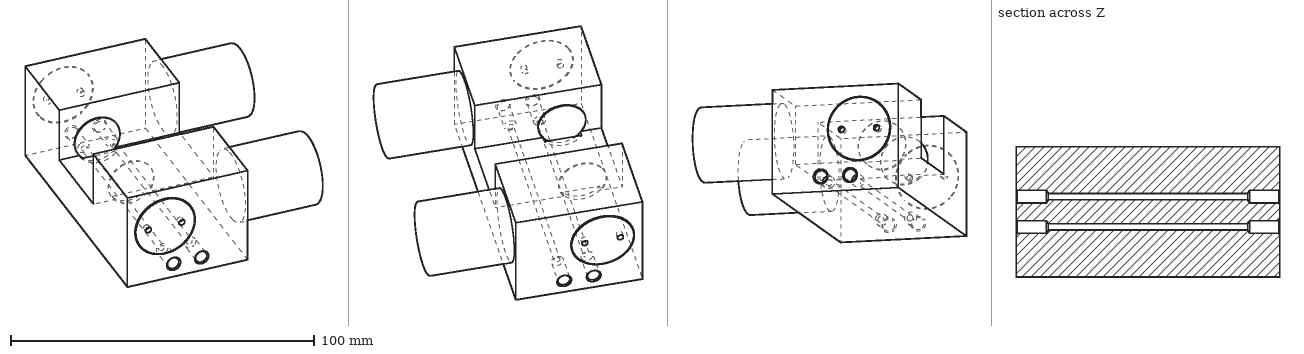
import cadquery as cq
import math

BODY_LENGTH = 87.0
BODY_DEPTH = 43.0
BODY_HEIGHT = 35.0
SLOT_WIDTH = 29.0
SLOT_DEPTH = 19.6

TUBE_DIAMETER = 25.0
TUBE_LENGTH = 28.0
TUBE_ROUNDING = 0.7

AXIS_HEIGHT = 20.5

OPTIC_Y = 13.5
WINDOW_DIAMETER = 16.2
WINDOW_PROTRUSION = 0.4
WINDOW_RELIEF = 2.0
COVER_DIAMETER = 21.5
COVER_GROOVE = 0.3
PIN_HOLE_DIAMETER = 2.0
PIN_HOLE_DEPTH = 2.0
PIN_HOLE_SPACING = 12.0

MOUNT_HOLE_HEIGHT = 5.05
MOUNT_HOLE_NEAR_Y = 16.5
MOUNT_HOLE_PITCH = 10.0
MOUNT_HOLE_COUNT = 2
MOUNT_BORE_DIAMETER = 2.0
MOUNT_THREAD_DIAMETER = 4.1
MOUNT_THREAD_DEPTH = 10.0
MOUNT_MOUTH_CHAMFER = 0.4
DRILL_POINT_ANGLE = 118.0

HALF_LENGTH = BODY_LENGTH / 2
HALF_SLOT = SLOT_WIDTH / 2
SLOT_FLOOR = BODY_HEIGHT - SLOT_DEPTH
LEG_CENTRE_X = (HALF_LENGTH + HALF_SLOT) / 2

ALONG_X = cq.Vector(1, 0, 0)


def x_cylinder(x_start, length, y, z, diameter):
    """Cylinder along +X."""
    return cq.Workplane(cq.Solid.makeCylinder(diameter / 2, length, cq.Vector(x_start, y, z), ALONG_X))


def x_cone(x_start, length, y, z, start_diameter, end_diameter):
    """Truncated cone along +X."""
    return cq.Workplane(
        cq.Solid.makeCone(start_diameter / 2, end_diameter / 2, length, cq.Vector(x_start, y, z), ALONG_X)
    )


def make_body():
    """Block with a slot open to the top, front and rear."""
    block = cq.Workplane("XY").box(BODY_LENGTH, BODY_DEPTH, BODY_HEIGHT, centered=(True, False, False))
    slot = (
        cq.Workplane("XY")
        .box(SLOT_WIDTH, BODY_DEPTH, SLOT_DEPTH, centered=(True, False, False))
        .translate((0, 0, SLOT_FLOOR))
    )
    return block.cut(slot)


def make_tube():
    """Rear tube of the -X leg, with a rounded free end."""
    return (
        cq.Workplane("XZ", origin=(-LEG_CENTRE_X, BODY_DEPTH, AXIS_HEIGHT))
        .circle(TUBE_DIAMETER / 2)
        .extrude(-TUBE_LENGTH)
        .faces(">Y")
        .fillet(TUBE_ROUNDING)
    )


def make_window_relief():
    """Pocket where the window bore runs past the -X slot wall into the slot floor."""
    return x_cylinder(-HALF_SLOT, WINDOW_RELIEF, OPTIC_Y, AXIS_HEIGHT, WINDOW_DIAMETER)


def make_window():
    """Window disc standing slightly proud of the -X slot wall."""
    return x_cylinder(-HALF_SLOT, WINDOW_PROTRUSION, OPTIC_Y, AXIS_HEIGHT, WINDOW_DIAMETER)


def make_cover_cuts():
    """Groove around the chamfered rim of the -X cover, and its two pin holes."""
    ring = x_cylinder(-HALF_LENGTH, COVER_GROOVE, OPTIC_Y, AXIS_HEIGHT, COVER_DIAMETER)
    rim_diameter = COVER_DIAMETER - 2 * COVER_GROOVE
    cover = x_cone(-HALF_LENGTH, COVER_GROOVE, OPTIC_Y, AXIS_HEIGHT, rim_diameter, COVER_DIAMETER)
    cuts = ring.cut(cover)
    for side in (-1, 1):
        hole_y = OPTIC_Y + side * PIN_HOLE_SPACING / 2
        cuts = cuts.add(x_cylinder(-HALF_LENGTH, PIN_HOLE_DEPTH, hole_y, AXIS_HEIGHT, PIN_HOLE_DIAMETER))
    return cuts


def make_mount_hole(y):
    """-X half of a mounting hole: chamfered mouth, thread bore, drill cone and through bore."""
    z = MOUNT_HOLE_HEIGHT
    mouth_diameter = MOUNT_THREAD_DIAMETER + 2 * MOUNT_MOUTH_CHAMFER
    cone_drop = (MOUNT_THREAD_DIAMETER - MOUNT_BORE_DIAMETER) / 2
    cone_length = cone_drop / math.tan(math.radians(DRILL_POINT_ANGLE / 2))
    cone_x = -HALF_LENGTH + MOUNT_THREAD_DEPTH
    mouth = x_cone(-HALF_LENGTH, MOUNT_MOUTH_CHAMFER, y, z, mouth_diameter, MOUNT_THREAD_DIAMETER)
    thread = x_cylinder(-HALF_LENGTH, MOUNT_THREAD_DEPTH, y, z, MOUNT_THREAD_DIAMETER)
    drill_cone = x_cone(cone_x, cone_length, y, z, MOUNT_THREAD_DIAMETER, MOUNT_BORE_DIAMETER)
    bore = x_cylinder(-HALF_LENGTH, HALF_LENGTH, y, z, MOUNT_BORE_DIAMETER)
    return mouth.union(thread).union(drill_cone).union(bore)


def cut_both_sides(part, cutter):
    """Cut every solid of the cutter and its mirror image across X = 0."""
    for solid in cutter.vals():
        part = part.cut(cq.Workplane(solid))
        part = part.cut(cq.Workplane(solid.mirror("YZ")))
    return part


def add_both_sides(part, feature):
    """Join a feature and its mirror image across X = 0."""
    return part.union(feature).union(feature.mirror("YZ"))


result = make_body()
result = add_both_sides(result, make_tube())
result = cut_both_sides(result, make_window_relief())
result = add_both_sides(result, make_window())
result = cut_both_sides(result, make_cover_cuts())
for hole_index in range(MOUNT_HOLE_COUNT):
    hole_y = MOUNT_HOLE_NEAR_Y + hole_index * MOUNT_HOLE_PITCH
    result = cut_both_sides(result, make_mount_hole(hole_y))